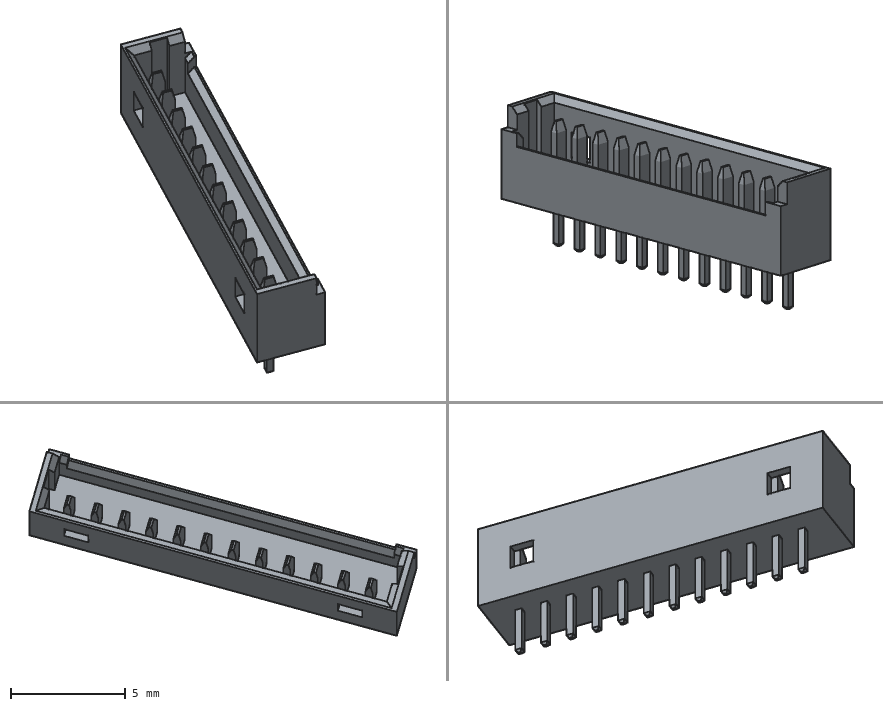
import cadquery as cq

length = 16.75
depth = 3.2
height = 4.2
floor_height = 0.8

end_wall = 0.57
side_wall = 0.4
lead_in = 0.3

rear_step = 1.0
rear_notch_length = 14.9
rear_notch_drop = 1.62

key_slot_depth = 0.27
key_slot_width = 0.82
key_slot_center_y = 0.05

window_width = 1.1
window_height = 1.15
window_bottom = 1.59
window_spacing = 12.48

pin_count = 12
pin_row_length = 13.75
pin_pitch = pin_row_length / (pin_count - 1)
tail_width = 0.32
blade_width = 0.34
blade_depth = 0.62
pin_y = -0.47
tail_length = 2.3
tail_tip_length = 0.12
tail_tip_width = 0.13
blade_top = 3.47
blade_tip_length = 0.5
blade_tip_width = 0.1
blade_tip_depth = 0.42

cavity_length = length - 2 * end_wall
cavity_depth = depth - 2 * side_wall
cavity_rear_y = cavity_depth / 2


def box(size_x, size_y, size_z, center_x, center_y, bottom_z):
    """Upright box placed by the middle of its bottom face."""
    block = cq.Workplane("XY").box(size_x, size_y, size_z, centered=(True, True, False))
    return block.translate((center_x, center_y, bottom_z))


def taper(bottom_size, top_size, bottom_z, taper_height):
    """Rectangular frustum centred on the Z axis."""
    return (
        cq.Workplane("XY", origin=(0, 0, bottom_z))
        .rect(*bottom_size)
        .workplane(offset=taper_height)
        .rect(*top_size)
        .loft(ruled=True)
    )


def make_cavity():
    """Cavity space with a flared mouth on the front and end walls."""
    cavity = box(cavity_length, cavity_depth, height - floor_height, 0, 0, floor_height)
    flare = taper(
        (cavity_length, cavity_depth),
        (cavity_length + 2 * lead_in, cavity_depth + 2 * lead_in),
        height - lead_in,
        lead_in,
    )
    return cavity.union(flare)


def rear_chamfer(wall_top, chamfer_length):
    """Wedge that bevels the inner top edge of the rear wall."""
    return (
        cq.Workplane("YZ")
        .moveTo(cavity_rear_y, wall_top)
        .lineTo(cavity_rear_y + lead_in, wall_top)
        .lineTo(cavity_rear_y, wall_top - lead_in)
        .close()
        .extrude(chamfer_length / 2, both=True)
    )


def lower_rear_wall(housing):
    """Cut the rear wall down in two steps and bevel both of its top edges."""
    rear_wall_y = depth / 2 - side_wall / 2
    cuts = (
        (length, cavity_length, rear_step),
        (rear_notch_length, rear_notch_length, rear_notch_drop),
    )
    for cut_length, chamfer_length, drop in cuts:
        wall_top = height - drop
        housing = housing.cut(box(cut_length, side_wall, drop, 0, rear_wall_y, wall_top))
        housing = housing.cut(rear_chamfer(wall_top, chamfer_length))
    return housing


def make_housing():
    """Open-topped shell with key slots in its ends and windows in its front."""
    housing = box(length, depth, height, 0, 0, 0).cut(make_cavity())
    housing = lower_rear_wall(housing)

    key_slots_length = cavity_length + 2 * key_slot_depth
    slot_height = height - floor_height
    housing = housing.cut(
        box(key_slots_length, key_slot_width, slot_height, 0, key_slot_center_y, floor_height)
    )

    front_wall_y = -depth / 2 + side_wall / 2
    for side in (-1, 1):
        window_x = side * window_spacing / 2
        housing = housing.cut(
            box(window_width, side_wall, window_height, window_x, front_wall_y, window_bottom)
        )
    return housing


def make_pin():
    """Square solder tail below, deeper tapered contact blade inside the cavity."""
    tail_section = (tail_width, tail_width)
    blade_section = (blade_width, blade_depth)
    blade_bottom = floor_height / 2
    blade_shoulder = blade_top - blade_tip_length
    tail_shoulder = tail_tip_length - tail_length

    tail_tip = taper((tail_tip_width, tail_tip_width), tail_section, -tail_length, tail_tip_length)
    tail = box(*tail_section, blade_bottom - tail_shoulder, 0, 0, tail_shoulder)
    blade = box(*blade_section, blade_shoulder - blade_bottom, 0, 0, blade_bottom)
    blade_tip = taper(blade_section, (blade_tip_width, blade_tip_depth), blade_shoulder, blade_tip_length)
    return tail_tip.union(tail).union(blade).union(blade_tip)


result = make_housing()
pin = make_pin()
for index in range(pin_count):
    pin_x = index * pin_pitch - pin_row_length / 2
    result = result.union(pin.translate((pin_x, pin_y, 0)))